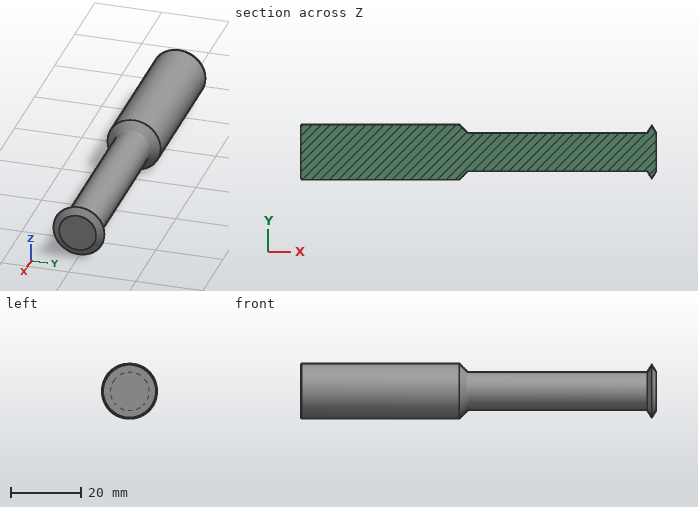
import cadquery as cq
import math

total_length = 101.6

shank_radius = 7.9
shank_chamfer = 0.4
shank_length = 45.3

neck_radius = 5.5
blend_radius = 0.6

head_radius = 7.6
head_length = 2.6
head_rim_x = total_length - head_length / 2
head_end_radius = neck_radius

taper_angle = math.radians(45)
taper_corner_x = shank_length + shank_radius - neck_radius
blend_end_x = taper_corner_x + blend_radius * math.tan(taper_angle / 2)


def blend_point(angle):
    """Point on the blend arc where its slope makes the given angle with the axis."""
    x = blend_end_x - blend_radius * math.sin(angle)
    radius = neck_radius + blend_radius * (1 - math.cos(angle))
    return (x, radius)


profile = (
    cq.Workplane("XY")
    .moveTo(0, 0)
    .lineTo(0, shank_radius - shank_chamfer)
    .lineTo(shank_chamfer, shank_radius)
    .lineTo(shank_length, shank_radius)
    .lineTo(*blend_point(taper_angle))
    .threePointArc(blend_point(taper_angle / 2), blend_point(0))
    .lineTo(total_length - head_length, neck_radius)
    .lineTo(head_rim_x, head_radius)
    .lineTo(total_length, head_end_radius)
    .lineTo(total_length, 0)
    .close()
)

result = profile.revolve(360, (0, 0, 0), (1, 0, 0))